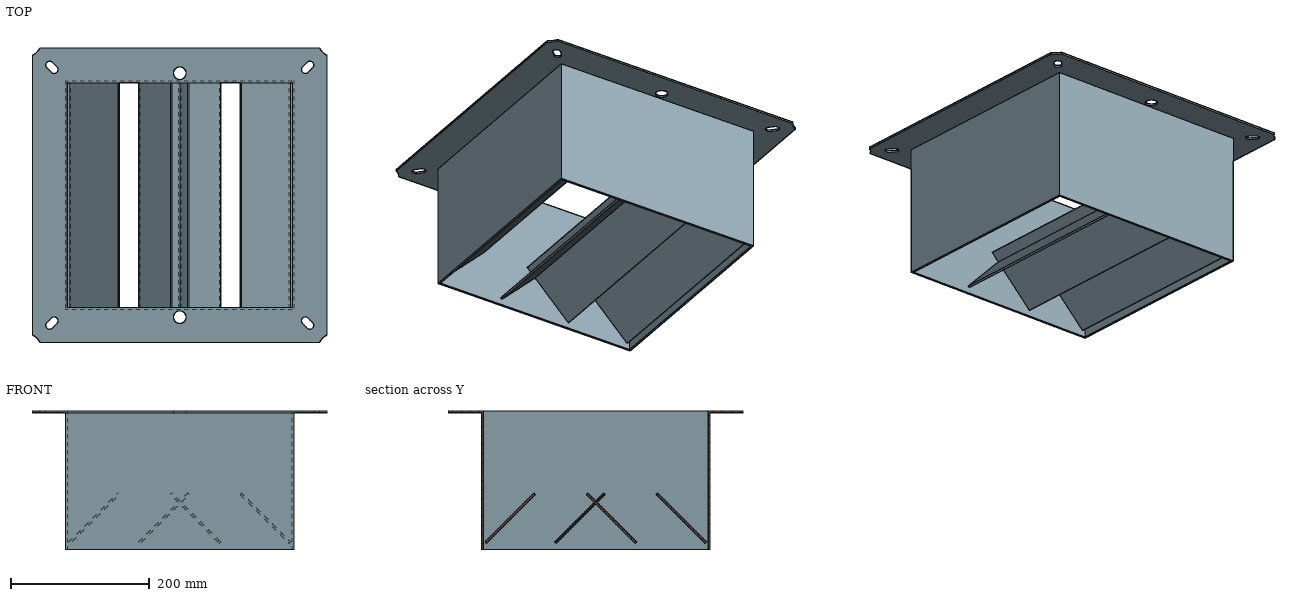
import cadquery as cq
import math

flange_side = 425
sheet = 3.0
total_height = 200.0
corner_setback = 10.5
corner_arc_radius = 21.2

duct_outer = 330.0
duct_inner = 324.0
wall_center = (duct_outer + duct_inner) / 4

round_hole_diameter = 18.0
round_hole_offset = 176.0
slot_offset = 184.5
slot_width = 11.0
slot_length = 20.0

blade_angle = 45
blade_length = 100.0
blade_top = 81.5
side_blade_edge = 89.2
crossed_blade_edge = 11.5


def square_plate(side, height):
    return cq.Workplane("XY").rect(side, side).extrude(height)


def make_flange():
    plate = square_plate(flange_side, sheet)
    half_chord = corner_setback / math.sqrt(2)
    arc_height = math.sqrt(corner_arc_radius**2 - half_chord**2)
    arc_center = (flange_side - corner_setback) / 2 + arc_height / math.sqrt(2)
    notches = (
        cq.Workplane("XY")
        .rect(2 * arc_center, 2 * arc_center, forConstruction=True)
        .vertices()
        .circle(corner_arc_radius)
        .extrude(sheet)
    )
    round_holes = (
        cq.Workplane("XY")
        .pushPoints([(0, round_hole_offset), (0, -round_hole_offset)])
        .circle(round_hole_diameter / 2)
        .extrude(sheet)
    )
    plate = plate.cut(notches).cut(round_holes)
    for side_x in (-1, 1):
        for side_y in (-1, 1):
            slot = (
                cq.Workplane("XY")
                .center(side_x * slot_offset, side_y * slot_offset)
                .slot2D(slot_length, slot_width, side_x * side_y * 45)
                .extrude(sheet)
            )
            plate = plate.cut(slot)
    return plate.translate((0, 0, total_height - sheet))


def make_blade(edge_x, run):
    """Flat blade descending from its upper edge; run is +1 toward +X or -1 toward -X."""
    slope = math.radians(blade_angle)
    along_x = run * math.cos(slope)
    along_z = -math.sin(slope)
    down_x = -run * math.sin(slope) * sheet
    down_z = -math.cos(slope) * sheet
    low_x = edge_x + along_x * blade_length
    low_z = blade_top + along_z * blade_length
    section = [
        (edge_x, blade_top),
        (low_x, low_z),
        (low_x + down_x, low_z + down_z),
        (edge_x + down_x, blade_top + down_z),
    ]
    return cq.Workplane("XZ").polyline(section).close().extrude(wall_center, both=True)


duct = square_plate(duct_outer, total_height)
opening = square_plate(duct_inner, total_height)
result = duct.union(make_flange()).cut(opening)

for side in (-1, 1):
    result = result.union(make_blade(side * side_blade_edge, side))
    result = result.union(make_blade(-side * crossed_blade_edge, side))